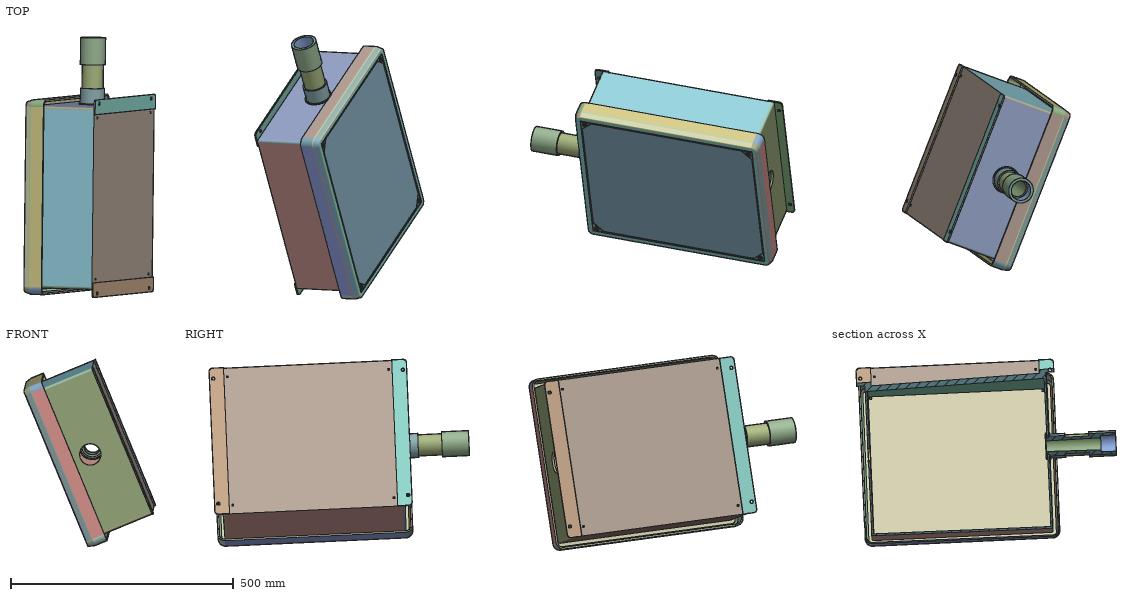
import cadquery as cq


SWING_ABOUT_Z = -1.63
ROLL_ABOUT_X = 2.2
TILT_ABOUT_Y = -22.5

LID_LENGTH = 438.4
LID_WIDTH = 387.6
LID_DEPTH = 45.0
LID_CORNER_RADIUS = 16.0
LID_BEVEL_DEPTH = 14.2
LID_BEVEL_INSET = 4.5
FACE_EDGE_RADIUS = 2.5
SIDE_EDGE_RADIUS = 8.0
LID_WALL = 3.8
LID_FACE_THICKNESS = 5.0
PANEL_LENGTH = 407.0
PANEL_WIDTH = 354.4
PANEL_RECESS = 2.0
PANEL_STEP = 1.0
PANEL_MARGIN = 2.5
PANEL_CORNER_CUT = 25.0

SCREW_SPACING_Y = 387.6
SCREW_SPACING_Z = 336.6
SCREW_HEAD_DIAMETER = 10.16
SCREW_HEAD_HEIGHT = 2.0
SCREW_SOCKET_DIAMETER = 5.0
SCREW_SOCKET_DEPTH = 1.0
SCREW_SHANK_DIAMETER = 5.0

BOX_LENGTH = 408.0
BOX_WIDTH = 354.8
BOX_BACK = 161.3
BOX_WALL = 5.0
BOX_EDGE_RADIUS = 5.0
BACK_HOLE_SPACING_Y = 363.0
BACK_HOLE_SPACING_Z = 312.5
BACK_HOLE_DIAMETER = 4.0
BACK_HOLE_DEPTH = 3.0

FOOT_SPAN = 444.5
FOOT_LENGTH = 33.0
FOOT_WIDTH = 355.2
FOOT_THICKNESS = 3.2
FOOT_CORNER_RADIUS = 8.0
FOOT_HOLE_SPACING_Y = 426.7
FOOT_HOLE_SPACING_Z = 304.8
FOOT_HOLE_DIAMETER = 7.0

NOZZLE_X = 83.9
NOZZLE_Z = -0.2
PORT_DIAMETER = 47.75
FLANGE_DIAMETER = 60.33
FLANGE_THICKNESS = 2.0
COLLAR_DIAMETER = 54.76
INNER_RING_THICKNESS = 1.5
COLLAR_END = 240.0
PIPE_DIAMETER = 48.26
PIPE_END = 293.5
SOCKET_DIAMETER = 56.79
SOCKET_BORE = 44.58
SOCKET_DEPTH = 34.0
NOZZLE_END = 354.0
BORE_DIAMETER = 38.1


def block(x_start, x_end, length, width):
    """Rectangular block centred on the X axis."""
    return cq.Workplane("YZ", origin=(x_start, 0, 0)).rect(length, width).extrude(x_end - x_start)


def drills(spacing_y, spacing_z, diameter, x_start, x_end):
    """Four round rods along X, on the corners of a centred rectangle."""
    pattern = cq.Workplane("YZ", origin=(x_start, 0, 0)).rect(spacing_y, spacing_z, forConstruction=True)
    return pattern.vertices().circle(diameter / 2).extrude(x_end - x_start)


def disc(diameter, y_start, y_end):
    """Round disc on the nozzle axis."""
    plane = cq.Plane(origin=(NOZZLE_X, y_start, NOZZLE_Z), xDir=(1, 0, 0), normal=(0, 1, 0))
    return cq.Workplane(plane).circle(diameter / 2).extrude(y_end - y_start)


def tray(inset, x_face):
    """Rounded block with a bevelled rim, set in from the outer faces of the lid."""
    length = LID_LENGTH - 2 * inset
    width = LID_WIDTH - 2 * inset
    radius = LID_CORNER_RADIUS - inset
    outer = cq.Sketch().rect(length, width).vertices().fillet(radius)
    face = cq.Sketch().rect(length - 2 * LID_BEVEL_INSET, width - 2 * LID_BEVEL_INSET)
    face = face.vertices().fillet(radius - LID_BEVEL_INSET)
    bevel_shift = cq.Location(cq.Vector(0, 0, LID_BEVEL_DEPTH - x_face))
    bevel = cq.Workplane("YZ", origin=(x_face, 0, 0)).placeSketch(face, outer.moved(bevel_shift)).loft()
    side = cq.Workplane("YZ", origin=(LID_BEVEL_DEPTH, 0, 0)).placeSketch(outer)
    return bevel.union(side.extrude(LID_DEPTH - LID_BEVEL_DEPTH))


def make_lid():
    """Hollow lid with a recessed face; an octagonal panel in the recess leaves the screw corners clear."""
    lid = tray(0, 0)
    bevel_edge = cq.selectors.BoxSelector(
        (LID_BEVEL_DEPTH / 2, -LID_LENGTH, -LID_WIDTH), (LID_DEPTH / 2, LID_LENGTH, LID_WIDTH)
    )
    lid = lid.edges(bevel_edge).fillet(SIDE_EDGE_RADIUS)
    lid = lid.faces("<X").edges().fillet(FACE_EDGE_RADIUS)
    lid = lid.cut(tray(LID_WALL, LID_FACE_THICKNESS))
    lid = lid.cut(block(0, PANEL_RECESS, PANEL_LENGTH, PANEL_WIDTH))
    panel = block(
        PANEL_RECESS - PANEL_STEP, PANEL_RECESS,
        PANEL_LENGTH - 2 * PANEL_MARGIN, PANEL_WIDTH - 2 * PANEL_MARGIN,
    )
    lid = lid.union(panel.edges("|X").chamfer(PANEL_CORNER_CUT - PANEL_MARGIN))
    return lid.cut(drills(SCREW_SPACING_Y, SCREW_SPACING_Z, SCREW_SHANK_DIAMETER, 0, LID_FACE_THICKNESS))


def make_screws():
    y = SCREW_SPACING_Y
    z = SCREW_SPACING_Z
    heads = drills(y, z, SCREW_HEAD_DIAMETER, 0, SCREW_HEAD_HEIGHT)
    shanks = drills(y, z, SCREW_SHANK_DIAMETER, PANEL_RECESS, LID_FACE_THICKNESS)
    sockets = drills(y, z, SCREW_SOCKET_DIAMETER, 0, SCREW_SOCKET_DEPTH)
    return heads.union(shanks).cut(sockets)


def make_box():
    """Open-fronted box that stands inside the lid skirt, with a foot plate across each end of its back."""
    box = block(LID_FACE_THICKNESS, BOX_BACK, BOX_LENGTH, BOX_WIDTH)
    box = box.edges("|X").fillet(BOX_EDGE_RADIUS)
    for side in (-1, 1):
        foot = block(BOX_BACK, BOX_BACK + FOOT_THICKNESS, FOOT_LENGTH, FOOT_WIDTH)
        foot = foot.translate((0, side * (FOOT_SPAN - FOOT_LENGTH) / 2, 0))
        outer_edge = "|X and >Y" if side > 0 else "|X and <Y"
        box = box.union(foot.edges(outer_edge).fillet(FOOT_CORNER_RADIUS))
    box = box.cut(
        block(LID_FACE_THICKNESS, BOX_BACK - BOX_WALL, BOX_LENGTH - 2 * BOX_WALL, BOX_WIDTH - 2 * BOX_WALL)
    )
    back = BOX_BACK + FOOT_THICKNESS
    box = box.cut(drills(FOOT_HOLE_SPACING_Y, FOOT_HOLE_SPACING_Z, FOOT_HOLE_DIAMETER, BOX_BACK, back))
    box = box.cut(
        drills(
            BACK_HOLE_SPACING_Y, BACK_HOLE_SPACING_Z, BACK_HOLE_DIAMETER,
            BOX_BACK - BACK_HOLE_DEPTH, BOX_BACK,
        )
    )
    return box.cut(disc(PORT_DIAMETER, -BOX_LENGTH / 2, BOX_LENGTH / 2))


def make_nozzle():
    """Stepped tube clamped in the +Y wall by a flange on each side of it."""
    wall_outside = BOX_LENGTH / 2
    wall_inside = wall_outside - BOX_WALL
    flange_inside = wall_inside - FLANGE_THICKNESS
    inner_end = flange_inside - INNER_RING_THICKNESS
    nozzle = disc(COLLAR_DIAMETER, inner_end, flange_inside)
    nozzle = nozzle.union(disc(FLANGE_DIAMETER, flange_inside, wall_inside))
    nozzle = nozzle.union(disc(PORT_DIAMETER, wall_inside, wall_outside))
    nozzle = nozzle.union(disc(FLANGE_DIAMETER, wall_outside, wall_outside + FLANGE_THICKNESS))
    nozzle = nozzle.union(disc(COLLAR_DIAMETER, wall_outside, COLLAR_END))
    nozzle = nozzle.union(disc(PIPE_DIAMETER, wall_outside, PIPE_END))
    nozzle = nozzle.union(disc(SOCKET_DIAMETER, PIPE_END, NOZZLE_END))
    nozzle = nozzle.cut(disc(PORT_DIAMETER, inner_end, flange_inside))
    nozzle = nozzle.cut(disc(BORE_DIAMETER, flange_inside, NOZZLE_END))
    return nozzle.cut(disc(SOCKET_BORE, NOZZLE_END - SOCKET_DEPTH, NOZZLE_END))


def pose(body):
    body = body.rotate((0, 0, 0), (0, 0, 1), SWING_ABOUT_Z)
    body = body.rotate((0, 0, 0), (1, 0, 0), ROLL_ABOUT_X)
    return body.rotate((0, 0, 0), (0, 1, 0), TILT_ABOUT_Y)


lid = pose(make_lid())
screws = pose(make_screws())
box = pose(make_box())
nozzle = pose(make_nozzle())

result = cq.Compound.makeCompound([box.val(), lid.val(), nozzle.val(), *screws.vals()])